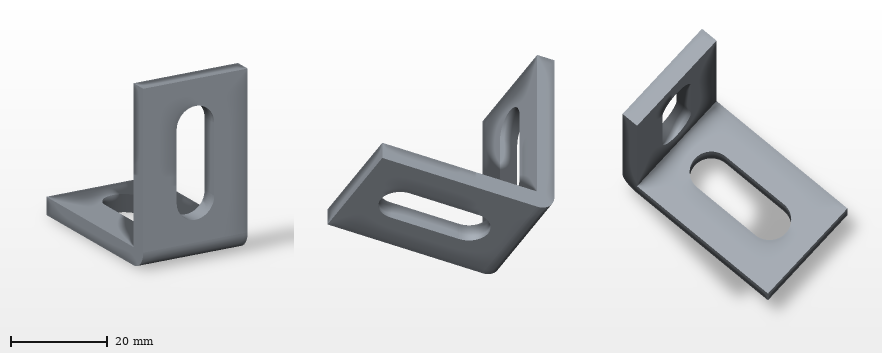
import cadquery as cq
import math

leg_length = 40.0
width = 25.0
thickness = 4.0

bend_radius = thickness

slot_length = 25.0
slot_width = 9.0
slot_end_margin = 6.0
slot_center = slot_end_margin + slot_length / 2


def make_bracket():
    """L-shaped strip, base leg along X and upright leg at the +X end."""
    inner_x = leg_length - thickness
    bend_center_x = leg_length - bend_radius
    arc_offset = bend_radius * math.sin(math.radians(45))
    profile = (
        cq.Workplane("XZ")
        .moveTo(0, 0)
        .lineTo(bend_center_x, 0)
        .threePointArc(
            (bend_center_x + arc_offset, bend_radius - arc_offset),
            (leg_length, bend_radius),
        )
        .lineTo(leg_length, leg_length)
        .lineTo(inner_x, leg_length)
        .lineTo(inner_x, thickness)
        .lineTo(0, thickness)
        .close()
    )
    return profile.extrude(width / 2, both=True)


def make_base_slot():
    """Cutter through the base leg, long side along X."""
    return (
        cq.Workplane("XY")
        .center(slot_center, 0)
        .slot2D(slot_length, slot_width)
        .extrude(thickness)
    )


def make_upright_slot():
    """Cutter through the upright leg, long side along Z."""
    return (
        cq.Workplane("YZ", origin=(leg_length - thickness, 0, 0))
        .center(0, leg_length - slot_center)
        .slot2D(slot_length, slot_width, 90)
        .extrude(thickness)
    )


result = make_bracket().cut(make_base_slot()).cut(make_upright_slot())